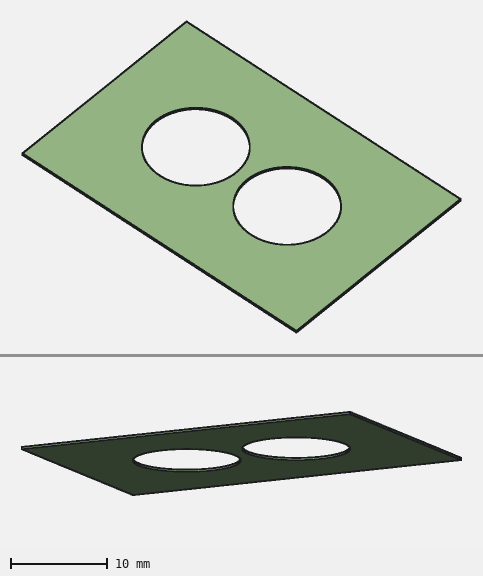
import cadquery as cq

length = 38.1
width = 25.4
thickness = 0.25

hole_diameter = 11.15
hole_spacing = length / 3

plate = cq.Workplane("XY").box(length, width, thickness)

hole_centres = [(-hole_spacing / 2, 0), (hole_spacing / 2, 0)]
result = plate.faces(">Z").workplane().pushPoints(hole_centres).hole(hole_diameter)